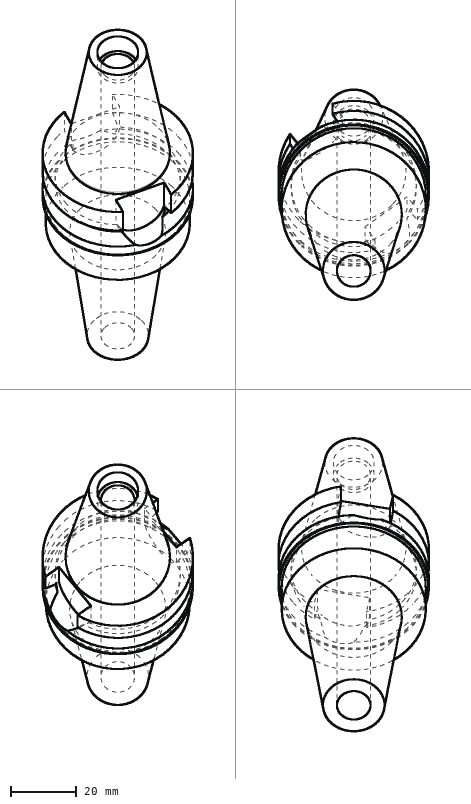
import cadquery as cq

total_height = 138.4
nose_tip_radius = 9.4
nose_root_radius = 14.7
nose_height = 50.5
body_radius = 22.0
body_bottom = 54.8
flange_radius = 23.0
flange_bottom = 68.0
flange_top = 89.1
seat_height = 0.7
seat_flare = 0.7

groove_radius = 19.1
groove_lower_edge = 72.2
groove_floor_bottom = 74.7
groove_floor_top = 78.0
groove_upper_edge = 80.1

gauge_height = 90.0
gauge_radius = 15.9
taper_tip_radius = 8.9

bore_radius = 5.1
mouth_radius = 6.2
mouth_depth = 7.2

slot_width = 16.2
slot_bottom = 71.0
slot_flat_offset = 16.3


def make_turned_body():
    """Revolve the half profile about Z."""
    profile = [
        (0, 0),
        (nose_tip_radius, 0),
        (nose_root_radius, nose_height),
        (body_radius, body_bottom),
        (body_radius, flange_bottom - seat_height),
        (body_radius + seat_flare, flange_bottom),
        (flange_radius, flange_bottom),
        (flange_radius, groove_lower_edge),
        (groove_radius, groove_floor_bottom),
        (groove_radius, groove_floor_top),
        (flange_radius, groove_upper_edge),
        (flange_radius, flange_top),
        (gauge_radius, flange_top),
        (gauge_radius, gauge_height),
        (taper_tip_radius, total_height),
        (0, total_height),
    ]
    return cq.Workplane("XZ").polyline(profile).close().revolve(360, (0, 0, 0), (0, 1, 0))


def make_drive_slot():
    """Cutter for the +X slot: open at the top, round at the bottom."""
    half_width = slot_width / 2
    arc_center = slot_bottom + half_width
    return (
        cq.Workplane("YZ", origin=(slot_flat_offset, 0, 0))
        .moveTo(-half_width, flange_top)
        .lineTo(-half_width, arc_center)
        .threePointArc((0, slot_bottom), (half_width, arc_center))
        .lineTo(half_width, flange_top)
        .close()
        .extrude(flange_radius)
    )


def make_bore():
    """Cutter for the through bore and its wider mouth at the top."""
    through = cq.Workplane("XY").circle(bore_radius).extrude(total_height)
    mouth_floor = total_height - mouth_depth
    mouth = cq.Workplane("XY", origin=(0, 0, mouth_floor)).circle(mouth_radius).extrude(mouth_depth)
    return through.union(mouth)


result = make_turned_body().cut(make_bore())
drive_slot = make_drive_slot()
for side_angle in (0, 180):
    result = result.cut(drive_slot.rotate((0, 0, 0), (0, 0, 1), side_angle))